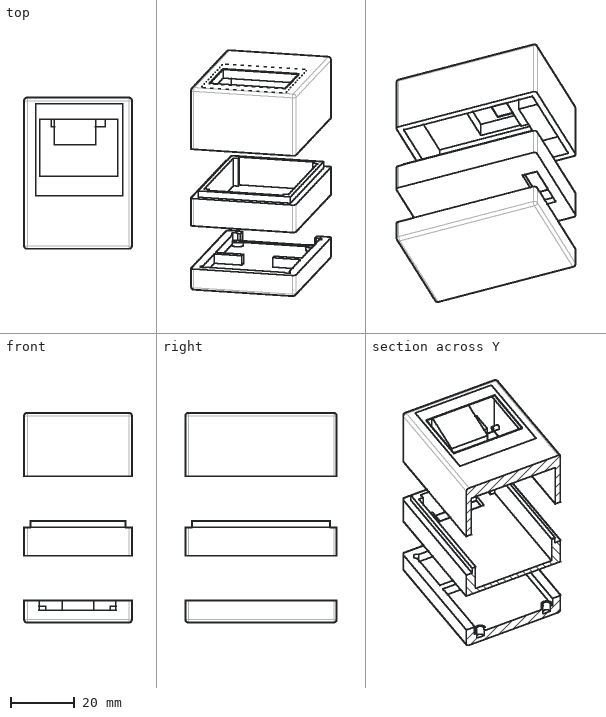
import cadquery as cq
CASE_X = 34.0
CASE_Y = 47.65
TRAY_TOP = 7.0
FRAME_BOTTOM = 21.0
FRAME_SHOULDER = 29.95
FRAME_TOP = 32.0
COVER_BOTTOM = 46.0
COVER_TOP = 66
EDGE_RADIUS = 1.0

TRAY_WALL = 3.05
TRAY_FLOOR = 3.95
CABLE_GAP_LEFT_X = -12.2
CABLE_GAP_RIGHT_X = 11.9
CABLE_SILL = 3.9
CABLE_SILL_DEPTH = 2
RIB_LENGTH = 9.0
RIB_THICKNESS = 2
RIB_FRONT_Y = 2.8
BOSS_DIAMETER = 3.5
BOSS_BORE = 2.5
BOSS_TOP = 5.2
BORE_FLOOR = 2
BOSS_X = 11.95
BOSS_Y = -17.8
CORNER_HOLE_DIAMETER = 2
CORNER_HOLE_X = 13.6
CORNER_HOLE_Y = 20.4

LIP_INSET = 2.05
FRAME_FLOOR = 2
FRAME_WALL = 3.35
CORNER_BLOCK = 1.5
SLOT_WIDTH = 15.85
SLOT_FRONT_Y = 15.6

COVER_WALL = 2
SKIN = 0.25
POCKET_LEFT_X = -13.3
POCKET_RIGHT_X = 14.05
POCKET_FRONT_Y = -7.1
POCKET_FLOOR_Z = 61.2
WINDOW_LEFT_X = -12.1
WINDOW_RIGHT_X = 12.55
WINDOW_FRONT_Y = -0.9
WINDOW_BACK_Y = 16.95
RAMP_LEFT_X = -7.4
RAMP_RIGHT_X = 5.55
RAMP_FRONT_Y = 8.9
RAMP_FRONT_Z = 58.2
RAMP_BACK_Z = 61.5
RAMP_BOTTOM_Z = 55.3
BASE_LEFT_X = -8.45
BASE_RIGHT_X = 8.65
BASE_FRONT_Y = 14.65
BASE_BOTTOM_Z = 48.0
PEG_DIAMETER = 1.5
PEG_LENGTH = 2
PEG_Y = 19.2
PEG_Z = 49.8


def box(x0, x1, y0, y1, z0, z1):
    """Axis-aligned box between two opposite corners."""
    return cq.Workplane("XY").box(x1 - x0, y1 - y0, z1 - z0, centered=False).translate((x0, y0, z0))


def centred_box(size_x, size_y, z0, z1):
    """Box centred on the Z axis."""
    return box(-size_x / 2, size_x / 2, -size_y / 2, size_y / 2, z0, z1)


def case_block(z0, z1):
    """Block with the case outline and rounded upright edges."""
    return centred_box(CASE_X, CASE_Y, z0, z1).edges("|Z").fillet(EDGE_RADIUS)



TRAY_CAVITY_X = CASE_X - 2 * TRAY_WALL
TRAY_CAVITY_Y = CASE_Y - 2 * TRAY_WALL


def tray_rib(side):
    """Stub rib on the left (-1) or right (1) wall, flush with the tray top."""
    centre_x = side * (TRAY_CAVITY_X - RIB_LENGTH) / 2
    rib = box(0, RIB_LENGTH, RIB_FRONT_Y, RIB_FRONT_Y + RIB_THICKNESS, TRAY_FLOOR, TRAY_TOP)
    return rib.translate((centre_x - RIB_LENGTH / 2, 0, 0))


def upright_cylinders(spots, diameter, z0, z1):
    """Equal upright cylinders at the given XY spots."""
    return (
        cq.Workplane("XY", origin=(0, 0, z0))
        .pushPoints(spots)
        .circle(diameter / 2)
        .extrude(z1 - z0)
    )


def build_tray():
    tray = case_block(0, TRAY_TOP).faces("<Z").edges().fillet(EDGE_RADIUS)
    tray = tray.cut(centred_box(TRAY_CAVITY_X, TRAY_CAVITY_Y, TRAY_FLOOR, TRAY_TOP))

    front_y = -CASE_Y / 2
    sill_back_y = front_y + CABLE_SILL_DEPTH
    gap_x = (CABLE_GAP_LEFT_X, CABLE_GAP_RIGHT_X)
    tray = tray.cut(box(*gap_x, sill_back_y, -TRAY_CAVITY_Y / 2, TRAY_FLOOR, TRAY_TOP))
    tray = tray.cut(box(*gap_x, front_y, sill_back_y, CABLE_SILL, TRAY_TOP))

    corners = [(sx * CORNER_HOLE_X, sy * CORNER_HOLE_Y) for sx in (-1, 1) for sy in (-1, 1)]
    tray = tray.cut(upright_cylinders(corners, CORNER_HOLE_DIAMETER, TRAY_FLOOR, TRAY_TOP))

    bosses = [(side * BOSS_X, BOSS_Y) for side in (-1, 1)]
    tray = tray.union(upright_cylinders(bosses, BOSS_DIAMETER, TRAY_FLOOR, BOSS_TOP))
    tray = tray.cut(upright_cylinders(bosses, BOSS_BORE, BORE_FLOOR, BOSS_TOP))

    for side in (-1, 1):
        tray = tray.union(tray_rib(side))
    return tray



FRAME_CAVITY_X = CASE_X - 2 * FRAME_WALL
FRAME_CAVITY_Y = CASE_Y - 2 * FRAME_WALL


def frame_cavity(z0, z1):
    """Rectangular cavity whose four corners are left filled by square blocks."""
    along_x = centred_box(FRAME_CAVITY_X, FRAME_CAVITY_Y - 2 * CORNER_BLOCK, z0, z1)
    along_y = centred_box(FRAME_CAVITY_X - 2 * CORNER_BLOCK, FRAME_CAVITY_Y, z0, z1)
    return along_x.union(along_y)


def build_frame():
    floor_top = FRAME_BOTTOM + FRAME_FLOOR
    slot_back_y = FRAME_CAVITY_Y / 2
    lip = centred_box(CASE_X - 2 * LIP_INSET, CASE_Y - 2 * LIP_INSET, FRAME_SHOULDER, FRAME_TOP)
    slot = box(-SLOT_WIDTH / 2, SLOT_WIDTH / 2, SLOT_FRONT_Y, slot_back_y, FRAME_BOTTOM, floor_top)
    frame = case_block(FRAME_BOTTOM, FRAME_SHOULDER).union(lip)
    return frame.cut(frame_cavity(floor_top, FRAME_TOP)).cut(slot)



COVER_INNER_X = CASE_X / 2 - COVER_WALL
COVER_INNER_Y = CASE_Y / 2 - COVER_WALL


def ramp():
    """Block on the back wall whose top slopes down towards the front."""
    return (
        cq.Workplane("YZ", origin=(RAMP_LEFT_X, 0, 0))
        .moveTo(RAMP_FRONT_Y, RAMP_BOTTOM_Z)
        .lineTo(RAMP_FRONT_Y, RAMP_FRONT_Z)
        .lineTo(COVER_INNER_Y, RAMP_BACK_Z)
        .lineTo(COVER_INNER_Y, RAMP_BOTTOM_Z)
        .close()
        .extrude(RAMP_RIGHT_X - RAMP_LEFT_X)
    )


def ramp_base():
    """Wider block on the back wall that carries the ramp."""
    return box(BASE_LEFT_X, BASE_RIGHT_X, BASE_FRONT_Y, COVER_INNER_Y, BASE_BOTTOM_Z, RAMP_BOTTOM_Z)


def wall_peg():
    """Round peg standing inwards from the right wall."""
    return (
        cq.Workplane("YZ", origin=(COVER_INNER_X - PEG_LENGTH, 0, 0))
        .center(PEG_Y, PEG_Z)
        .circle(PEG_DIAMETER / 2)
        .extrude(PEG_LENGTH)
    )


def build_cover():
    cover = case_block(COVER_BOTTOM, COVER_TOP).faces(">Z").edges().fillet(EDGE_RADIUS)
    cover = cover.cut(centred_box(2 * COVER_INNER_X, 2 * COVER_INNER_Y, COVER_BOTTOM, POCKET_FLOOR_Z))

    skin_bottom = COVER_TOP - SKIN
    cover = cover.cut(
        box(POCKET_LEFT_X, POCKET_RIGHT_X, POCKET_FRONT_Y, COVER_INNER_Y, POCKET_FLOOR_Z, skin_bottom)
    )
    cover = cover.cut(
        box(WINDOW_LEFT_X, WINDOW_RIGHT_X, WINDOW_FRONT_Y, WINDOW_BACK_Y, skin_bottom, COVER_TOP)
    )
    return cover.union(ramp()).union(ramp_base()).union(wall_peg())


tray = build_tray()
frame = build_frame()
cover = build_cover()
result = cq.Compound.makeCompound([tray.val(), frame.val(), cover.val()])